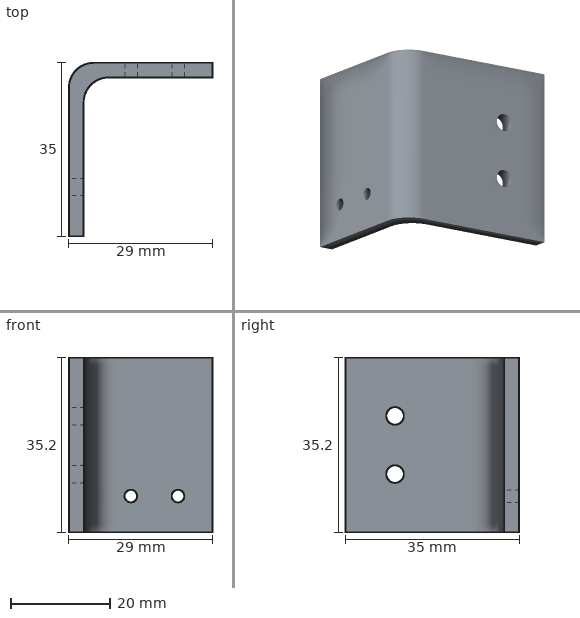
import cadquery as cq

length_x = 29.0
length_y = 35.0
height = 35.2
thickness = 3.0

bend_radius = 5.0

back_hole_diameter = 2.5
back_hole_first_x = 12.5
back_hole_spacing = 9.5
back_hole_z = 7.3

side_hole_diameter = 3.5
side_hole_edge_distance = 10.0
side_hole_pitch = height / 3


def make_angle():
    """L-shaped plate with its outer corner at the -X, +Y side."""
    blank = cq.Workplane("XY").box(length_x, length_y, height, centered=False)
    blank = blank.edges("|Z and <X and >Y").fillet(bend_radius)
    inside = (
        cq.Workplane("XY")
        .box(length_x - thickness, length_y - thickness, height, centered=False)
        .edges("|Z and <X and >Y")
        .fillet(bend_radius)
        .translate((thickness, 0, 0))
    )
    return blank.cut(inside)


def back_holes():
    """Cutters along Y through the back leg."""
    centres = [(back_hole_first_x + i * back_hole_spacing, back_hole_z) for i in range(2)]
    return (
        cq.Workplane("XZ", origin=(0, length_y, 0))
        .pushPoints(centres)
        .circle(back_hole_diameter / 2)
        .extrude(thickness)
    )


def side_holes():
    """Cutters along X through the side leg."""
    centres = [(side_hole_edge_distance, i * side_hole_pitch) for i in (1, 2)]
    return (
        cq.Workplane("YZ")
        .pushPoints(centres)
        .circle(side_hole_diameter / 2)
        .extrude(thickness)
    )


result = make_angle().cut(back_holes()).cut(side_holes())